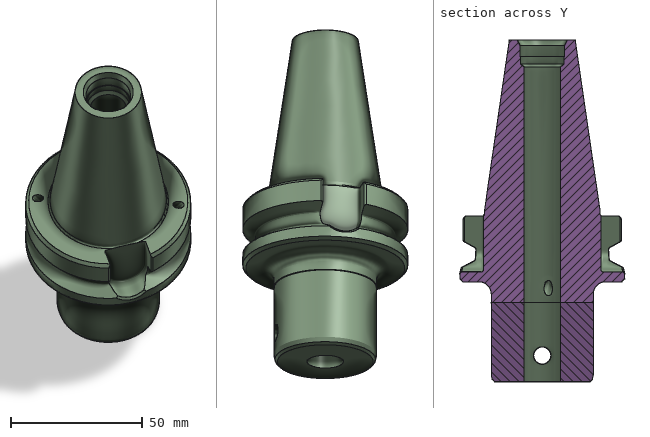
import cadquery as cq
import math

TOTAL_LENGTH = 130.4
GAUGE_HEIGHT = 65.1
FLANGE_TOP = 63.2
FLANGE_BOTTOM = 38.1
GROOVE_BOTTOM = 46.3
GROOVE_TOP = 51.0
JOINT_HEIGHT = 30.3

TAPER_RADIUS = 22.2
TAPER_SLOPE = 7 / 48
TAPER_ROOT_FILLET = 0.8

FLANGE_DIAMETER = 63.0
FLANGE_RADIUS = FLANGE_DIAMETER / 2
GROOVE_RADIUS = 26.6
FLANGE_TOP_CHAMFER = 1.2
FLANGE_BOTTOM_CHAMFER = 1.2
GROOVE_ROOT_FILLET = 0.7
GROOVE_SIDE_ANGLE = math.radians(30)

NECK_RADIUS = 19.5
NECK_FILLET = 4.5
JOINT_CHAMFER = 0.3
SLEEVE_TAPER_HEIGHT = 2.6
SLEEVE_TAPER_INSET = 0.4
SLEEVE_END_CHAMFER = 0.9
SCREW_HOLE_RADIUS = 3.3
SCREW_HOLE_HEIGHT = 10.0

BORE_RADIUS = 6.9
PILOT_RADIUS = 8.5
PILOT_DEPTH = 6.4
COUNTERBORE_RADIUS = 8.2
COUNTERBORE_DEPTH = 9.3
COUNTERBORE_CONE_HEIGHT = 1.0
MOUTH_RADIUS = 9.5
MOUTH_DEPTH = 2.1

SLOT_HALF_WIDTH = 8.1
SLOT_WALL_X = 22.4
SLOT_END_HEIGHT = 42.0
SLOT_FLOOR_FILLET = 0.8
SLOT_EDGE_CHAMFER = 0.8

COOLANT_RADIUS = 1.7
COOLANT_PLACE_RADIUS = 26.9
COOLANT_DIRECTION = 70.0
COOLANT_TILT = 36.0

TOLERANCE = 0.01


def holder_blank():
    """Taper, grooved flange and neck turned as one solid."""
    top_radius = TAPER_RADIUS - TAPER_SLOPE * (TOTAL_LENGTH - GAUGE_HEIGHT)
    groove_side = (FLANGE_RADIUS - GROOVE_RADIUS) * math.tan(GROOVE_SIDE_ANGLE)
    arc_inset = 1 - math.sqrt(0.5)
    neck_arc_middle = (
        NECK_RADIUS + NECK_FILLET * arc_inset,
        FLANGE_BOTTOM - NECK_FILLET * arc_inset,
    )
    root_arc_middle = (
        TAPER_RADIUS + TAPER_ROOT_FILLET * arc_inset,
        FLANGE_TOP + TAPER_ROOT_FILLET * arc_inset,
    )
    blank = (
        cq.Workplane("XZ")
        .moveTo(0, JOINT_HEIGHT)
        .lineTo(NECK_RADIUS, JOINT_HEIGHT)
        .lineTo(NECK_RADIUS, FLANGE_BOTTOM - NECK_FILLET)
        .threePointArc(neck_arc_middle, (NECK_RADIUS + NECK_FILLET, FLANGE_BOTTOM))
        .lineTo(FLANGE_RADIUS - FLANGE_BOTTOM_CHAMFER, FLANGE_BOTTOM)
        .lineTo(FLANGE_RADIUS, FLANGE_BOTTOM + FLANGE_BOTTOM_CHAMFER)
        .lineTo(FLANGE_RADIUS, GROOVE_BOTTOM - groove_side)
        .lineTo(GROOVE_RADIUS, GROOVE_BOTTOM)
        .lineTo(GROOVE_RADIUS, GROOVE_TOP)
        .lineTo(FLANGE_RADIUS, GROOVE_TOP + groove_side)
        .lineTo(FLANGE_RADIUS, FLANGE_TOP - FLANGE_TOP_CHAMFER)
        .lineTo(FLANGE_RADIUS - FLANGE_TOP_CHAMFER, FLANGE_TOP)
        .lineTo(TAPER_RADIUS + TAPER_ROOT_FILLET, FLANGE_TOP)
        .threePointArc(root_arc_middle, (TAPER_RADIUS, FLANGE_TOP + TAPER_ROOT_FILLET))
        .lineTo(TAPER_RADIUS, GAUGE_HEIGHT)
        .lineTo(top_radius, TOTAL_LENGTH)
        .lineTo(0, TOTAL_LENGTH)
        .close()
        .revolve(360, (0, 0, 0), (0, 1, 0))
    )
    groove_roots = [
        edge for edge in blank.edges("%CIRCLE").vals() if abs(edge.radius() - GROOVE_RADIUS) < TOLERANCE
    ]
    blank = blank.newObject(groove_roots).fillet(GROOVE_ROOT_FILLET)
    return blank


def bore_cutter():
    """Stepped bore: conical mouth, pilot bore, counterbore with conical floor, through hole."""
    mouth_end = TOTAL_LENGTH - MOUTH_DEPTH
    pilot_end = TOTAL_LENGTH - PILOT_DEPTH
    cone_top = TOTAL_LENGTH - COUNTERBORE_DEPTH
    return (
        cq.Workplane("XZ")
        .lineTo(BORE_RADIUS, 0)
        .lineTo(BORE_RADIUS, cone_top - COUNTERBORE_CONE_HEIGHT)
        .lineTo(COUNTERBORE_RADIUS, cone_top)
        .lineTo(COUNTERBORE_RADIUS, pilot_end)
        .lineTo(PILOT_RADIUS, pilot_end)
        .lineTo(PILOT_RADIUS, mouth_end)
        .lineTo(MOUTH_RADIUS, TOTAL_LENGTH)
        .lineTo(0, TOTAL_LENGTH)
        .close()
        .revolve(360, (0, 0, 0), (0, 1, 0))
    )


def slot_cutter(side):
    """U-shaped drive slot, open at the flange top; side is +1 or -1 along X."""
    arc_height = SLOT_END_HEIGHT + SLOT_HALF_WIDTH
    slot = (
        cq.Workplane("YZ", origin=(SLOT_WALL_X, 0, 0))
        .moveTo(-SLOT_HALF_WIDTH, TOTAL_LENGTH)
        .lineTo(-SLOT_HALF_WIDTH, arc_height)
        .threePointArc((0, SLOT_END_HEIGHT), (SLOT_HALF_WIDTH, arc_height))
        .lineTo(SLOT_HALF_WIDTH, TOTAL_LENGTH)
        .close()
        .extrude(FLANGE_RADIUS)
        .faces("<X")
        .edges("not >Z")
        .fillet(SLOT_FLOOR_FILLET)
    )
    return slot.rotate((0, 0, 0), (0, 0, 1), 0 if side > 0 else 180)


def chamfer_slot_rims(body):
    """Bevel the slot edges that lie on the outer cylinder of the flange."""
    def on_slot_rim(edge):
        points = [edge.positionAt(t) for t in (0, 0.25, 0.5, 0.75, 1)]
        on_rim = all(abs(math.hypot(p.x, p.y) - FLANGE_RADIUS) < TOLERANCE for p in points)
        in_slot = all(abs(p.y) < SLOT_HALF_WIDTH + TOLERANCE for p in points)
        return on_rim and in_slot

    rims = [edge for edge in body.edges().vals() if on_slot_rim(edge)]
    return body.newObject(rims).chamfer(SLOT_EDGE_CHAMFER)


def coolant_cutter(direction):
    """Hole that slants from the flange face inward to the spindle axis."""
    length = COOLANT_PLACE_RADIUS / math.sin(math.radians(COOLANT_TILT))
    return (
        cq.Workplane("XY")
        .circle(COOLANT_RADIUS)
        .extrude(length + COOLANT_RADIUS)
        .translate((0, 0, -length))
        .rotate((0, 0, 0), (0, 1, 0), COOLANT_TILT)
        .translate((COOLANT_PLACE_RADIUS, 0, FLANGE_TOP))
        .rotate((0, 0, 0), (0, 0, 1), direction)
    )


def make_holder():
    holder = holder_blank()
    for side in (1, -1):
        holder = holder.cut(slot_cutter(side))
    holder = chamfer_slot_rims(holder)
    for direction in (COOLANT_DIRECTION, COOLANT_DIRECTION + 180):
        holder = holder.cut(coolant_cutter(direction))
    return holder.cut(bore_cutter())


def make_sleeve():
    """Clamping sleeve below the holder, with a radial screw hole on its +Y side."""
    end_radius = NECK_RADIUS - SLEEVE_TAPER_INSET
    sleeve = (
        cq.Workplane("XZ")
        .lineTo(end_radius - SLEEVE_END_CHAMFER, 0)
        .lineTo(end_radius, SLEEVE_END_CHAMFER)
        .lineTo(NECK_RADIUS, SLEEVE_TAPER_HEIGHT)
        .lineTo(NECK_RADIUS, JOINT_HEIGHT - JOINT_CHAMFER)
        .lineTo(NECK_RADIUS - JOINT_CHAMFER, JOINT_HEIGHT)
        .lineTo(0, JOINT_HEIGHT)
        .close()
        .revolve(360, (0, 0, 0), (0, 1, 0))
    )
    screw_hole = (
        cq.Workplane("XZ")
        .center(0, SCREW_HOLE_HEIGHT)
        .circle(SCREW_HOLE_RADIUS)
        .extrude(-FLANGE_RADIUS)
    )
    return sleeve.cut(bore_cutter()).cut(screw_hole)


holder = make_holder()
sleeve = make_sleeve()

result = cq.Compound.makeCompound([holder.val(), sleeve.val()])